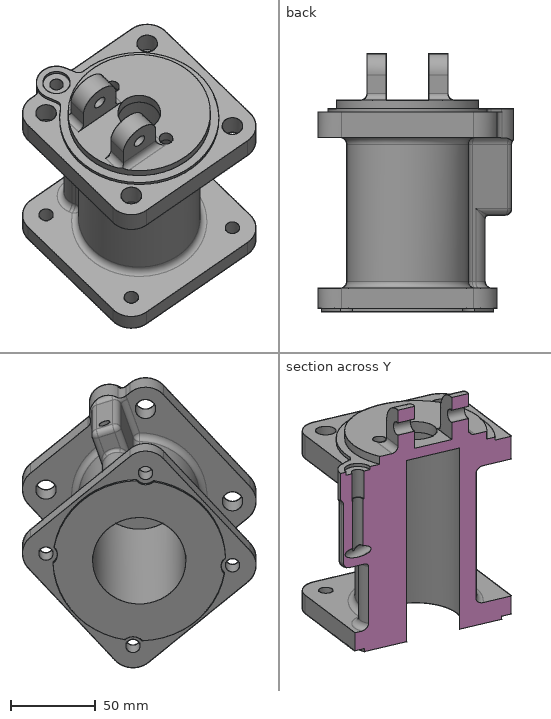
import cadquery as cq
import math

FLANGE_BOTTOM = 2.0
FLANGE_TOP = 14.0
HEAD_BOTTOM = 103.0
HEAD_TOP = 118.0
RIM_TOP = 120.0
COVER_TOP = 125.0
OVERALL_HEIGHT = 152.5

FLANGE_SIDE = 106.0
FLANGE_CORNER_RADIUS = 14.0
BOLT_OFFSET = 39.0
BASE_BOLT_DIAMETER = 8.4
HEAD_BOLT_DIAMETER = 12.0
PAD_DIAMETER = 102.0
PAD_RELIEF_DIAMETER = 13.4

BARREL_DIAMETER = 72.0
BORE_DIAMETER = 55.0
RIM_DIAMETER = 94.1
COVER_DIAMETER = 84.0
COVER_OPENING_DIAMETER = 25.0
COVER_HOLE_DIAMETER = 8.0
COVER_HOLE_OFFSET = 24.5
FILLET = 4.0
HEAD_NECK_FILLET = 4.5

ARM_ANGLE = 180 + 22.5
BOSS_DISTANCE = 55.0
BOSS_RADIUS = 11.9
RIB_DISTANCE = 40.0
RIB_RADIUS = 9.0
BLOCK_END = 64.2
BLOCK_BOTTOM = 57.0
RIB_BLEND = 2.0
BOSS_RECESS_DIAMETER = 16.0
BOSS_RECESS_DEPTH = 2.0
VALVE_TAP_DIAMETER = 7.8
VALVE_TAP_DEPTH = 20.0
VALVE_DRILL_DIAMETER = 6.7
PORT_DIAMETER = 6.5
PORT_HEIGHT = 66.2

LUG_WIDTH = 25.0
LUG_INNER_FACE = 12.5
LUG_THICKNESS = 11.5
LUG_Y = -20.0
LUG_PIN_DIAMETER = 8.0

MARGIN = 0.2
SPLIT = BLOCK_BOTTOM / 2
BOLT_POINTS = [(x, y) for x in (-BOLT_OFFSET, BOLT_OFFSET) for y in (-BOLT_OFFSET, BOLT_OFFSET)]


def cylinder(diameter, bottom, top, points=((0, 0),)):
    """Upright cylinders of one diameter between two levels."""
    plane = cq.Workplane("XY").workplane(offset=bottom)
    return plane.pushPoints(list(points)).circle(diameter / 2).extrude(top - bottom)


def box(x_min, x_max, half_width, bottom, top):
    """Box centred on the X axis."""
    size = (x_max - x_min, 2 * half_width, top - bottom)
    return cq.Workplane("XY").box(*size, centered=(False, True, False)).translate((x_min, 0, bottom))


def turn_arm(shape):
    """Turn a shape modelled along +X to the direction of the valve arm."""
    return shape.rotate((0, 0, 0), (0, 0, 1), ARM_ANGLE)


def arm_outline(length, radius, bottom, top):
    """Round-ended arm from the axis outward."""
    tip = cylinder(2 * radius, bottom, top, [(length, 0)])
    return box(0, length, radius, bottom, top).union(tip)


def square_plate(bottom, top):
    plate = cq.Workplane("XY").workplane(offset=bottom).rect(FLANGE_SIDE, FLANGE_SIDE).extrude(top - bottom)
    return plate.edges("|Z").fillet(FLANGE_CORNER_RADIUS)


def near(x, y, bottom, top):
    """Selector for the upright edge through a point."""
    return cq.selectors.BoxSelector(
        (x - MARGIN, y - MARGIN, bottom), (x + MARGIN, y + MARGIN, top))


def circle_x(radius, y):
    """X at which a circle about the axis has a given Y."""
    return math.sqrt(radius ** 2 - y ** 2)


def fillet_arm_root(shape, radius, half_width, bottom, top):
    """Blend the sides of an arm along +X into the round body it leaves."""
    x = circle_x(radius, half_width)
    for y in (-half_width, half_width):
        shape = shape.edges("|Z").edges(near(x, y, bottom, top)).fillet(FILLET)
    return shape


def head_plate(bottom, top):
    """Upper flange outline with the valve boss blended into its side."""
    plate = square_plate(bottom, top).union(turn_arm(arm_outline(BOSS_DISTANCE, BOSS_RADIUS, bottom, top)))
    angle = math.radians(ARM_ANGLE)
    edge_x = -FLANGE_SIDE / 2
    along = (edge_x - BOSS_RADIUS * math.sin(angle)) / math.cos(angle)
    upper_y = along * math.sin(angle) - BOSS_RADIUS * math.cos(angle)
    boss_x = BOSS_DISTANCE * math.cos(angle)
    boss_y = BOSS_DISTANCE * math.sin(angle)
    lower_y = boss_y - circle_x(BOSS_RADIUS, edge_x - boss_x)
    for y in (upper_y, lower_y):
        plate = plate.edges("|Z").edges(near(edge_x, y, bottom, top)).fillet(HEAD_NECK_FILLET)
    return plate


def valve_block():
    """Valve block with rounded corners, blended onto the round post of the rib."""
    block = box(0, BLOCK_END, RIB_RADIUS, BLOCK_BOTTOM, HEAD_BOTTOM)
    block = block.edges("(>X and |Z) or (<Z and (not <X))").fillet(FILLET)
    post = cylinder(2 * RIB_RADIUS, FLANGE_TOP, HEAD_BOTTOM, [(RIB_DISTANCE, 0)])
    joint = cq.selectors.BoxSelector(
        (RIB_DISTANCE, -RIB_RADIUS, BLOCK_BOTTOM - MARGIN),
        (RIB_DISTANCE + RIB_RADIUS + MARGIN, RIB_RADIUS, BLOCK_BOTTOM + MARGIN), boundingbox=True)
    return post.union(block).edges(joint).fillet(RIB_BLEND)


def column():
    """Barrel with its rib and valve block, the arm along +X."""
    barrel = cylinder(BARREL_DIAMETER, FLANGE_TOP, HEAD_BOTTOM)
    web = box(0, RIB_DISTANCE, RIB_RADIUS, FLANGE_TOP, HEAD_BOTTOM)
    body = barrel.union(web).union(valve_block())
    return fillet_arm_root(body, BARREL_DIAMETER / 2, RIB_RADIUS, FLANGE_TOP, HEAD_BOTTOM)


def casting():
    """Column between two flanges, blended into both."""
    stock = 2 * FLANGE_SIDE
    body = column()
    body = body.union(cylinder(stock, FLANGE_BOTTOM, FLANGE_TOP))
    body = body.union(cylinder(stock, HEAD_BOTTOM, HEAD_TOP))
    reach = BLOCK_END + FILLET
    for level in (FLANGE_TOP, HEAD_BOTTOM):
        joint = cq.selectors.BoxSelector(
            (-reach, -reach, level - MARGIN), (reach, reach, level + MARGIN), boundingbox=True)
        body = body.edges(joint).fillet(FILLET)
    envelope = square_plate(FLANGE_BOTTOM, SPLIT).union(head_plate(SPLIT, HEAD_TOP))
    return turn_arm(body).intersect(envelope)


def rim():
    """Raised rim on the upper flange, carried around the valve boss."""
    ring = cylinder(RIM_DIAMETER, HEAD_TOP, RIM_TOP)
    ring = ring.union(arm_outline(BOSS_DISTANCE, BOSS_RADIUS, HEAD_TOP, RIM_TOP))
    return turn_arm(fillet_arm_root(ring, RIM_DIAMETER / 2, BOSS_RADIUS, HEAD_TOP, RIM_TOP))


def locating_pad():
    """Low disc under the lower flange, relieved around the bolt holes."""
    pad = cylinder(PAD_DIAMETER, 0, FLANGE_BOTTOM)
    return pad.cut(cylinder(PAD_RELIEF_DIAMETER, 0, FLANGE_BOTTOM, BOLT_POINTS))


def lug():
    """Right-hand clevis lug with a blended foot; its inner face stays flat."""
    half = LUG_WIDTH / 2
    pin_z = OVERALL_HEIGHT - half
    plate = (
        cq.Workplane("YZ").workplane(offset=LUG_INNER_FACE)
        .moveTo(LUG_Y - half, RIM_TOP)
        .lineTo(LUG_Y - half, pin_z)
        .threePointArc((LUG_Y, OVERALL_HEIGHT), (LUG_Y + half, pin_z))
        .lineTo(LUG_Y + half, RIM_TOP)
        .close()
        .extrude(LUG_THICKNESS)
    )
    foot = (
        cq.Workplane("XY")
        .box(COVER_DIAMETER, COVER_DIAMETER, COVER_TOP - RIM_TOP, centered=(False, True, False))
        .translate((LUG_INNER_FACE, LUG_Y, RIM_TOP))
    )
    outer = LUG_INNER_FACE + LUG_THICKNESS
    joint = cq.selectors.BoxSelector(
        (LUG_INNER_FACE - MARGIN, LUG_Y - half - MARGIN, COVER_TOP - MARGIN),
        (outer + MARGIN, LUG_Y + half + MARGIN, COVER_TOP + MARGIN), boundingbox=True)
    shape = plate.union(foot).edges(joint).fillet(FILLET)
    return shape.intersect(cylinder(COVER_DIAMETER, RIM_TOP, OVERALL_HEIGHT))


def cover():
    """Cover disc with its pair of clevis lugs and the pin hole."""
    right = lug()
    disc = cylinder(COVER_DIAMETER, RIM_TOP, COVER_TOP)
    shape = disc.union(right).union(right.mirror("YZ"))
    pin = (
        cq.Workplane("YZ")
        .center(LUG_Y, OVERALL_HEIGHT - LUG_WIDTH / 2)
        .circle(LUG_PIN_DIAMETER / 2)
        .extrude(COVER_DIAMETER, both=True)
    )
    return shape.cut(pin)


def valve_passage():
    """Recessed vertical hole in the boss, met by a port from the block's end."""
    centre = [(BOSS_DISTANCE, 0)]
    recess = cylinder(BOSS_RECESS_DIAMETER, RIM_TOP - BOSS_RECESS_DEPTH, RIM_TOP, centre)
    tap = cylinder(VALVE_TAP_DIAMETER, RIM_TOP - VALVE_TAP_DEPTH, RIM_TOP, centre)
    drill = cylinder(VALVE_DRILL_DIAMETER, PORT_HEIGHT, RIM_TOP, centre)
    port = (
        cq.Workplane("YZ").workplane(offset=RIB_DISTANCE)
        .center(0, PORT_HEIGHT)
        .circle(PORT_DIAMETER / 2)
        .extrude(BLOCK_END - RIB_DISTANCE)
    )
    return turn_arm(recess.union(tap).union(drill).union(port))


result = casting().union(rim()).union(locating_pad()).union(cover())

cover_holes = [(-COVER_HOLE_OFFSET, 0), (COVER_HOLE_OFFSET, 0)]
result = result.cut(cylinder(BORE_DIAMETER, 0, HEAD_TOP))
result = result.cut(cylinder(COVER_OPENING_DIAMETER, HEAD_TOP, OVERALL_HEIGHT))
result = result.cut(cylinder(COVER_HOLE_DIAMETER, HEAD_TOP, OVERALL_HEIGHT, cover_holes))

result = result.cut(cylinder(BASE_BOLT_DIAMETER, 0, FLANGE_TOP, BOLT_POINTS))
result = result.cut(cylinder(HEAD_BOLT_DIAMETER, HEAD_BOTTOM, RIM_TOP, BOLT_POINTS))

result = result.cut(valve_passage())